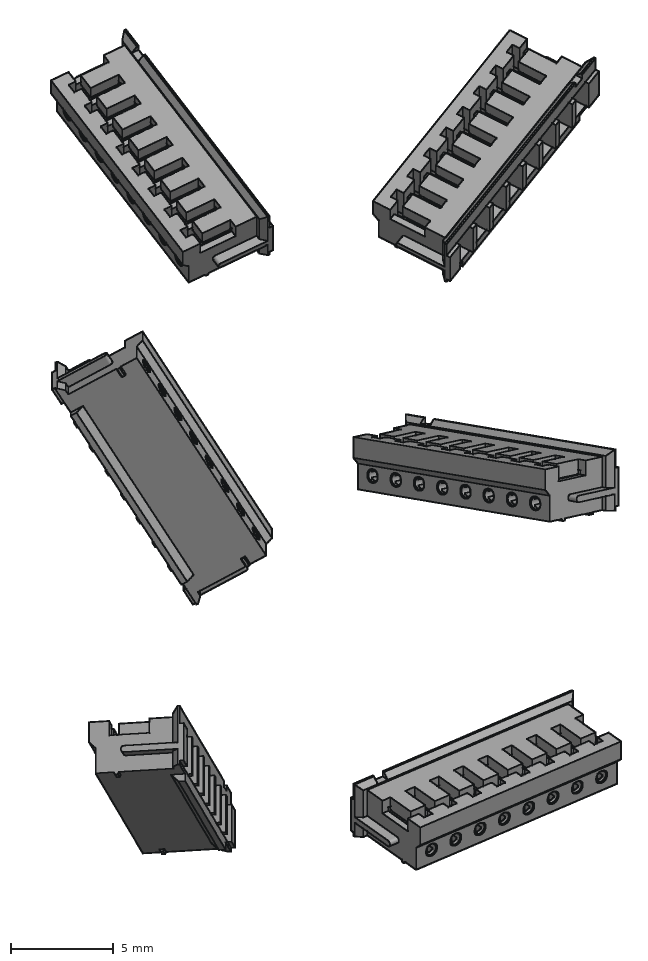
import cadquery as cq

contact_count = 8
pitch = 1.5

body_width = 12.4
body_height = 2.65
lower_face_y = 0.33
overhang_bottom_z = 1.62
overhang_root_z = overhang_bottom_z - lower_face_y

flange_width = 13.5
flange_back_y = 4.6
flange_rim_y = 4.5
flange_front_y = 4.2
flange_chamfer = flange_rim_y - flange_front_y
flange_top_z = 3.03
notch_left_x = -5.55
notch_right_x = -4.94

wall_thickness = 0.32
cavity_width = pitch - wall_thickness
cavity_front_y = 1.0
cavity_bottom_z = 0.2
cavity_top_z = 2.12

slot_floor_z = 1.91
finger_width = 0.92
finger_front_y = 1.4
finger_root_y = 3.0
access_notch_width = 0.53
access_notch_front_y = 0.59

hole_diameter = 0.6
hole_mouth_diameter = 0.7
hole_z = 0.79
hole_chamfer = (hole_mouth_diameter - hole_diameter) / 2

tail_back_y = 4.8

rib_tip_y = 1.69
rib_height = 0.33
rib_z = 0.98

key_length = 10.6
key_depth = 0.37
key_root_y = 3.9
bump_length = 0.49
bump_y = 1.36
bump_depth = 0.11
bump_top_width = 0.26
bump_tip_width = 0.14

contact_xs = [(i - (contact_count - 1) / 2) * pitch for i in range(contact_count)]
wall_xs = [(i - contact_count / 2) * pitch for i in range(1, contact_count)]
end_wall_x = contact_xs[-1] + cavity_width / 2


def block(x_range, y_range, z_range):
    """Axis-aligned box between the given limits."""
    (x0, x1), (y0, y1), (z0, z1) = x_range, y_range, z_range
    return cq.Workplane("XY").box(x1 - x0, y1 - y0, z1 - z0, centered=False).translate((x0, y0, z0))


def extrude_along_x(points, length, center_x=0):
    """Closed (y, z) outline extruded along X about center_x."""
    return (
        cq.Workplane("YZ", origin=(center_x - length / 2, 0, 0))
        .polyline(points)
        .close()
        .extrude(length)
    )


def make_body():
    outline = [
        (lower_face_y, 0),
        (lower_face_y, overhang_root_z),
        (0, overhang_bottom_z),
        (0, body_height),
        (flange_back_y, body_height),
        (flange_back_y, 0),
    ]
    return extrude_along_x(outline, body_width)


def make_flange():
    half_width = flange_width / 2
    plate = block((-half_width, half_width), (flange_front_y, flange_back_y), (0, flange_top_z))
    plate = plate.faces("<Y").edges("|Z or >Z").chamfer(flange_chamfer)
    notch = block(
        (notch_left_x, notch_right_x),
        (flange_front_y, flange_back_y),
        (flange_top_z - flange_chamfer, flange_top_z),
    )
    return plate.cut(notch)


def make_guide_ribs():
    """One bar across the whole width; its ends stand out as ribs with rounded tips."""
    radius = rib_height / 2
    return (
        cq.Workplane("YZ", origin=(-flange_width / 2, 0, 0))
        .moveTo(flange_back_y, rib_z - radius)
        .lineTo(rib_tip_y + radius, rib_z - radius)
        .threePointArc((rib_tip_y, rib_z), (rib_tip_y + radius, rib_z + radius))
        .lineTo(flange_back_y, rib_z + radius)
        .close()
        .extrude(flange_width)
    )


def make_wall_tails():
    half_wall = wall_thickness / 2
    spans = [(x - half_wall, x + half_wall) for x in wall_xs]
    spans.append((-flange_width / 2, -end_wall_x))
    spans.append((end_wall_x, flange_width / 2))
    tails = cq.Workplane("XY")
    for span in spans:
        tails = tails.union(block(span, (flange_rim_y, tail_back_y), (cavity_bottom_z, cavity_top_z)))
    return tails


def make_key():
    outline = [
        (key_root_y, 0),
        (key_root_y + key_depth, -key_depth),
        (flange_back_y, -key_depth),
        (flange_back_y, 0),
    ]
    return extrude_along_x(outline, key_length)


def make_bump(side):
    center_x = side * (body_width - bump_length) / 2
    outline = [
        (bump_y - bump_top_width / 2, 0),
        (bump_y - bump_tip_width / 2, -bump_depth),
        (bump_y + bump_tip_width / 2, -bump_depth),
        (bump_y + bump_top_width / 2, 0),
    ]
    return extrude_along_x(outline, bump_length, center_x)


def make_top_slots():
    """Cross groove behind the front bar, plus the gaps between neighbouring fingers."""
    z_range = (slot_floor_z, body_height)
    half_body = body_width / 2
    half_finger = finger_width / 2
    slots = block((-half_body, half_body), (cavity_front_y, finger_front_y), z_range)
    gap_edges = [-half_body]
    for x in contact_xs:
        gap_edges += [x - half_finger, x + half_finger]
    gap_edges.append(half_body)
    for left, right in zip(gap_edges[::2], gap_edges[1::2]):
        slots = slots.union(block((left, right), (cavity_front_y, finger_root_y), z_range))
    return slots


def make_contact_cut(x):
    """Cavity, access notch and wire hole for one contact; the cavity is taller behind the finger."""
    half_cavity = cavity_width / 2
    half_notch = access_notch_width / 2
    x_range = (x - half_cavity, x + half_cavity)
    under_finger = block(x_range, (cavity_front_y, finger_root_y), (cavity_bottom_z, slot_floor_z))
    rear_cavity = block(x_range, (finger_root_y, tail_back_y), (cavity_bottom_z, cavity_top_z))
    access_notch = block(
        (x - half_notch, x + half_notch),
        (access_notch_front_y, cavity_front_y),
        (cavity_bottom_z, body_height),
    )
    front_wall = cavity_front_y - lower_face_y
    mouth_plane = cq.Workplane("XZ", origin=(x, lower_face_y, hole_z))
    hole = mouth_plane.circle(hole_diameter / 2).extrude(-front_wall)
    mouth = (
        mouth_plane.circle(hole_mouth_diameter / 2)
        .workplane(offset=-hole_chamfer)
        .circle(hole_diameter / 2)
        .loft(ruled=True)
    )
    return under_finger.union(rear_cavity).union(access_notch).union(hole).union(mouth)


result = make_body()
for feature in (make_flange(), make_guide_ribs(), make_wall_tails(), make_key()):
    result = result.union(feature)
for side in (-1, 1):
    result = result.union(make_bump(side))
result = result.cut(make_top_slots())
for x in contact_xs:
    result = result.cut(make_contact_cut(x))